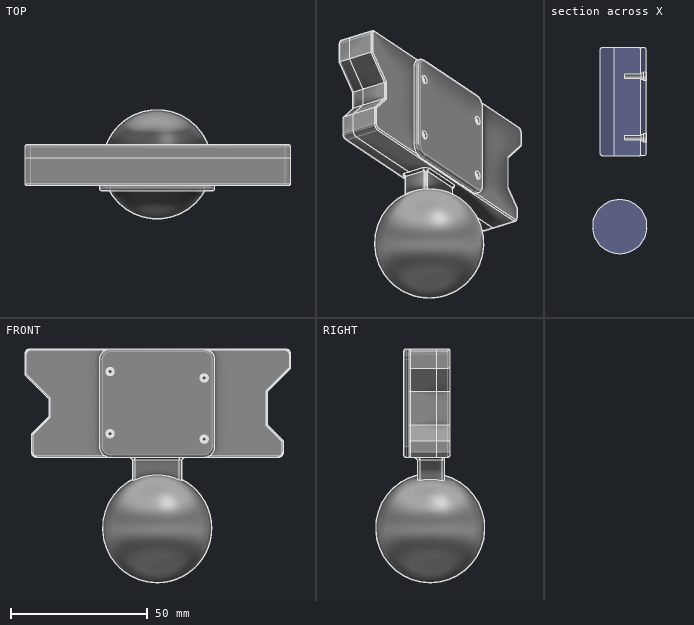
import cadquery as cq


height = 39.75
housing_front_y = -7.75
split_y = 2.25
lid_back_y = 7.25
corner_radius = 2.0
front_chamfer = 0.5
back_rounding = 1.0

left_upper_x = -48.35
left_lower_x = -45.95
left_notch_x = -39.6
left_notch_bottom_z = 14.9
left_notch_top_z = 21.45

right_upper_x = 48.8
right_lower_x = 46.2
right_notch_x = 40.3
right_notch_bottom_z = 11.95
right_notch_top_z = 24.1

plate_width = 42.1
plate_thickness = 2.0
plate_corner_radius = 4.0
plate_edge_radius = 1.0

hole_centres = [(-17.2, 31.4), (-17.2, 8.7), (17.2, 29.1), (17.2, 6.7)]
counterbore_diameter = 3.0
counterbore_depth = 1.0
clearance_diameter = 2.2
pilot_diameter = 1.5
pilot_depth = 6.0

ball_radius = 20.0
ball_centre_z = -25.82
neck_width = 18.0
neck_depth = 10.0
neck_centre_y = 0.25
neck_corner_chamfer = 1.0
collar_flare = 0.9


def front_plane(y):
    """Sketch plane at depth y, with local axes X and Z; a positive extrusion runs toward -Y."""
    return cq.Workplane("XZ", origin=(0, y, 0))


def end_notch(upper_x, lower_x, notch_x, bottom_z, top_z):
    """Notched end profile from bottom to top, its slopes at 45 degrees."""
    return [
        (lower_x, 0),
        (lower_x, bottom_z - abs(lower_x - notch_x)),
        (notch_x, bottom_z),
        (notch_x, top_z),
        (upper_x, top_z + abs(upper_x - notch_x)),
        (upper_x, height),
    ]


def notched_slab(y_start, y_end):
    """Slab with a notch at each end and four rounded outer corners."""
    right_end = end_notch(right_upper_x, right_lower_x, right_notch_x, right_notch_bottom_z, right_notch_top_z)
    left_end = end_notch(left_upper_x, left_lower_x, left_notch_x, left_notch_bottom_z, left_notch_top_z)
    outline = right_end + left_end[::-1]
    slab = front_plane(y_start).polyline(outline).close().extrude(y_start - y_end)
    outer_corners = slab.edges("|Y").edges("<Z or >Z")
    return outer_corners.fillet(corner_radius)


def hole_cutter(y, diameter, depth):
    """Cylinders at every screw position, running from y toward +Y."""
    return front_plane(y).pushPoints(hole_centres).circle(diameter / 2).extrude(-depth)


def make_housing():
    body = notched_slab(housing_front_y, split_y).faces("<Y").chamfer(front_chamfer)
    return body.cut(hole_cutter(housing_front_y, pilot_diameter, pilot_depth))


def make_lid():
    return notched_slab(split_y, lid_back_y).faces(">Y").edges().fillet(back_rounding)


def make_plate():
    plate_front_y = housing_front_y - plate_thickness
    body = (
        front_plane(housing_front_y)
        .center(0, height / 2)
        .rect(plate_width, height)
        .extrude(plate_thickness)
        .edges("|Y")
        .fillet(plate_corner_radius)
        .faces("<Y")
        .edges()
        .fillet(plate_edge_radius)
    )
    body = body.cut(hole_cutter(plate_front_y, counterbore_diameter, counterbore_depth))
    return body.cut(hole_cutter(plate_front_y, clearance_diameter, plate_thickness))


def neck_outline(z):
    """Neck section at height z: a rectangle with its four corners cut at 45 degrees."""
    half_x = neck_width / 2
    half_y = neck_depth / 2
    flat_x = half_x - neck_corner_chamfer
    flat_y = half_y - neck_corner_chamfer
    corners = [
        (half_x, -flat_y),
        (half_x, flat_y),
        (flat_x, half_y),
        (-flat_x, half_y),
        (-half_x, flat_y),
        (-half_x, -flat_y),
        (-flat_x, -half_y),
        (flat_x, -half_y),
    ]
    return cq.Workplane("XY", origin=(0, neck_centre_y, z)).polyline(corners).close()


def make_ball_stud():
    ball = cq.Workplane("XY").sphere(ball_radius).translate((0, 0, ball_centre_z))
    neck = neck_outline(ball_centre_z).extrude(-ball_centre_z)

    collar = neck_outline(-collar_flare).extrude(collar_flare, taper=-45)
    back_trim = (
        cq.Workplane("XY", origin=(0, neck_centre_y + neck_depth / 2, 0))
        .rect(2 * neck_width, 2 * collar_flare)
        .extrude(-collar_flare)
        .translate((0, collar_flare, 0))
    )
    return ball.union(neck).union(collar.cut(back_trim))


housing = make_housing()
lid = make_lid()
plate = make_plate()
ball_stud = make_ball_stud()

result = cq.Compound.makeCompound([housing.val(), lid.val(), plate.val(), ball_stud.val()])